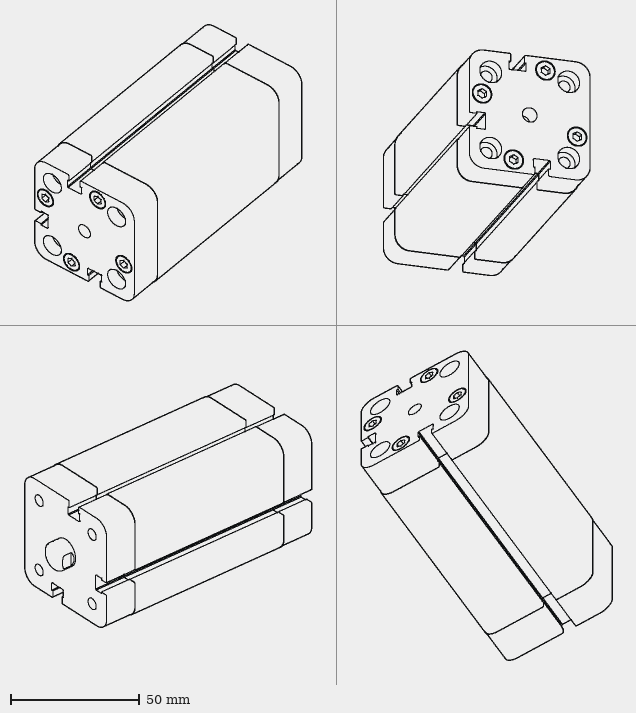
import cadquery as cq
import math

total_length = 110.5
cap_length = 14.4
rod_projection = 6.0
rear_face = total_length - rod_projection
tube_length = rear_face - 2 * cap_length

tube_width = 50.1
cap_width = 49.7
corner_radius = 6.0

slot_offset = 5.0
slot_neck_width = 5.6
slot_width = 7.0
slot_floor = 18.1
slot_shoulder = 21.7
slot_corner_bevel = 0.3
tube_slot_relief = 0.1
tube_lip = 0.3
cap_lip = 0.5
slot_angles = (0, 90, 180)

mount_spacing = 32.0
mount_bore = 4.9
mount_counterbore = 9.0
mount_counterbore_depth = 5.5

centre_hole = 6.0
centre_hole_depth = 8.8

screw_offset = 6.5
screw_distance = 19.6
screw_head = 7.5
screw_recess = 8.0
screw_gap_depth = 0.5
socket_across_flats = 3.4
socket_depth = 2.4
socket_sides = 6

rod_diameter = 12.0
rod_tip_radius = 1.1
rod_across_flats = 10.4
flat_length = 4.4


def plane_at(y):
    """Plane across the axis: local X is X, local Y is Z, negative extrusions run toward +Y."""
    return cq.Workplane(cq.Plane(origin=(0, y, 0), xDir=(1, 0, 0), normal=(0, -1, 0)))


def slot_cutter(y, length, width, lip, relief):
    """Top T-slot with bevelled floor corners, a rounded mouth and its walls set back by the relief."""
    top = width / 2
    half_neck = slot_neck_width / 2 + relief
    half_slot = slot_width / 2 + relief
    floor = slot_floor - relief
    arc_inset = lip * (1 - math.sqrt(0.5))

    def at(x, z):
        return (x - slot_offset, z)

    outline = (
        plane_at(y)
        .moveTo(*at(half_slot - slot_corner_bevel, floor))
        .lineTo(*at(half_slot, floor + slot_corner_bevel))
        .lineTo(*at(half_slot, slot_shoulder))
        .lineTo(*at(half_neck, slot_shoulder))
        .lineTo(*at(half_neck, top - lip))
        .threePointArc(at(half_neck + arc_inset, top - arc_inset), at(half_neck + lip, top))
        .lineTo(*at(-half_neck - lip, top))
        .threePointArc(at(-half_neck - arc_inset, top - arc_inset), at(-half_neck, top - lip))
        .lineTo(*at(-half_neck, slot_shoulder))
        .lineTo(*at(-half_slot, slot_shoulder))
        .lineTo(*at(-half_slot, floor + slot_corner_bevel))
        .lineTo(*at(-half_slot + slot_corner_bevel, floor))
        .close()
    )
    return outline.extrude(-length)


def slotted_section(y, length, width, lip, relief=0):
    """Rounded square length with a T-slot in three of its sides."""
    block = plane_at(y).rect(width, width).extrude(-length).edges("|Y").fillet(corner_radius)
    cutter = slot_cutter(y, length, width, lip, relief)
    for angle in slot_angles:
        block = block.cut(cutter.rotate((0, 0, 0), (0, -1, 0), angle))
    return block


def mounting_holes():
    """Four through bores with counterbores in the front face."""
    corners = plane_at(0).rect(mount_spacing, mount_spacing, forConstruction=True).vertices()
    bores = corners.circle(mount_bore / 2).extrude(-rear_face)
    seats = corners.circle(mount_counterbore / 2).extrude(-mount_counterbore_depth)
    return bores.union(seats)


def screw_recesses():
    """Ring gap round each flush screw head, and its hexagon socket."""
    centres = [
        (screw_offset, screw_distance),
        (-screw_distance, screw_offset),
        (-screw_offset, -screw_distance),
        (screw_distance, -screw_offset),
    ]
    places = plane_at(0).pushPoints(centres)
    recesses = places.circle(screw_recess / 2).circle(screw_head / 2).extrude(-screw_gap_depth)
    across_corners = socket_across_flats / math.cos(math.pi / socket_sides)
    hexagon = plane_at(0).polygon(socket_sides, across_corners).extrude(-socket_depth)
    upright_hexagon = hexagon.rotate((0, 0, 0), (0, 1, 0), 90)
    for x, z in centres:
        recesses = recesses.union(upright_hexagon.translate((x, 0, z)))
    return recesses


def rod_end():
    """Rounded rod end with two wrench flats that run out at 45 degrees."""
    radius = rod_diameter / 2
    rod = plane_at(rear_face).circle(radius).extrude(-rod_projection)
    rod = rod.faces(">Y").fillet(rod_tip_radius)
    half_flats = rod_across_flats / 2
    flat_end = total_length - flat_length
    runout = radius - half_flats
    profile = [
        (half_flats, total_length),
        (half_flats, flat_end),
        (radius, flat_end - runout),
        (radius, total_length),
    ]
    flat = cq.Workplane("XY").polyline(profile).close().extrude(radius, both=True)
    return rod.cut(flat).cut(flat.mirror("YZ"))


front_cap = slotted_section(0, cap_length, cap_width, cap_lip)
tube = slotted_section(cap_length, tube_length, tube_width, tube_lip, tube_slot_relief)
rear_cap = slotted_section(rear_face - cap_length, cap_length, cap_width, cap_lip)

body = front_cap.union(tube).union(rear_cap).union(rod_end())
body = body.cut(mounting_holes()).cut(screw_recesses())
result = body.cut(plane_at(0).circle(centre_hole / 2).extrude(-centre_hole_depth))